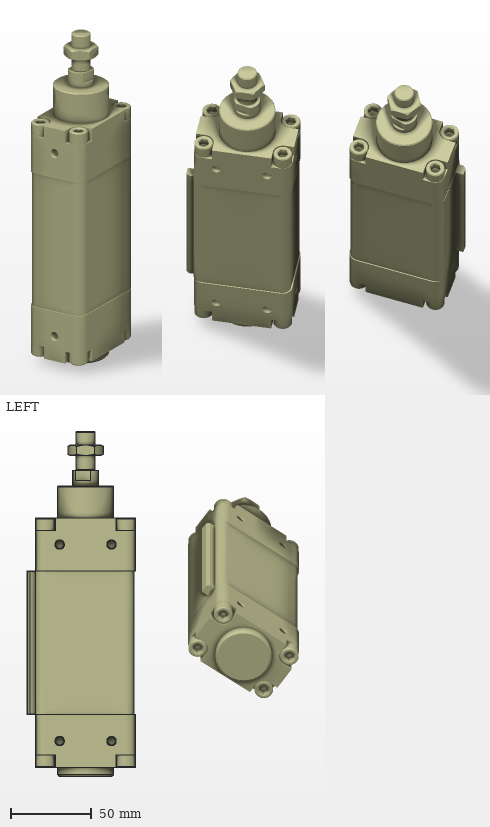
import cadquery as cq
import math

total_height = 214.5
end_boss_height = 5.5
end_cap_height = 33.0
barrel_length = 89.0
collar_height = 20.0
cap_bottom_z = end_boss_height
barrel_bottom_z = cap_bottom_z + end_cap_height
barrel_top_z = barrel_bottom_z + barrel_length
cap_top_z = barrel_top_z + end_cap_height
collar_top_z = cap_top_z + collar_height

cap_width = 40.0
cap_depth = 62.0
cap_corner_radius = 6.0
barrel_inset = 0.6
barrel_front_inset = 0.9
barrel_width = cap_width - 2 * barrel_inset
barrel_front_y = barrel_front_inset - cap_depth / 2
barrel_overhang = 0.2
barrel_back_y = cap_depth / 2 + barrel_overhang
barrel_depth = barrel_back_y - barrel_front_y
barrel_center_y = (barrel_front_y + barrel_back_y) / 2
barrel_corner_radius = cap_corner_radius - barrel_inset

collar_diameter = 35.0
collar_chamfer = 0.6
end_boss_chamfer = 1.3

overall_depth = 67.4
rail_width = 6.5
rail_left_x = -13.3
rail_chamfer = 1.7
rail_outer_y = overall_depth - cap_depth / 2

screw_x = cap_width / 2 - cap_corner_radius
screw_y = cap_depth / 2 - cap_corner_radius
screw_diameter = 11.5
screw_chamfer = 0.6
pocket_depth = 8.0
pocket_diameter = 12.5
socket_mouth_diameter = 8.0
socket_countersink_depth = 0.6
socket_flats = 6.0
socket_depth = 5.0
socket_tip_diameter = 4.0
drill_tip_angle = 118.0

port_height = 16.5
port_diameter = 5.0
port_mouth_diameter = 5.8
port_mouth_depth = 0.6
port_depth = 6.5
port_core_diameter = 4.0
port_core_depth = 8.5
side_port_y = 16.0

rod_diameter = 16.0
rod_shoulder_z = 190.3
rod_flats = 13.0
rod_flat_bottom_z = 183.8
rod_flat_angle = -14.0
thread_diameter = 12.0
thread_end_diameter = 10.7
thread_chamfer = (thread_diameter - thread_end_diameter) / 2

nut_flats = 19.0
nut_height = 6.5
nut_bottom_z = 199.5
nut_chamfer_angle = 30.0


def box_between(x0, x1, y0, y1, z0, z1):
    """Axis-aligned box between two opposite corners."""
    return cq.Workplane("XY").box(x1 - x0, y1 - y0, z1 - z0, centered=False).translate((x0, y0, z0))


def cylinder(diameter, bottom_z, height):
    """Cylinder on the axis."""
    return cq.Workplane("XY").workplane(offset=bottom_z).circle(diameter / 2).extrude(height)


def revolved(points):
    """Solid of revolution about Z from (radius, z) points."""
    return cq.Workplane("XZ").polyline(points).close().revolve(360, (0, 0, 0), (0, 1, 0))


def rounded_block(width, depth, corner_radius, bottom_z, height):
    """Block centred on the axis with rounded vertical edges."""
    block = cq.Workplane("XY").workplane(offset=bottom_z).rect(width, depth).extrude(height)
    return block.edges("|Z").fillet(corner_radius)


def hexagon_corner_diameter(flats):
    return flats / math.cos(math.pi / 6)


def hexagon(flats, bottom_z, height):
    """Hexagonal prism on the axis with two flats facing +X and -X."""
    outline = cq.Workplane("XY").workplane(offset=bottom_z).polygon(6, hexagon_corner_diameter(flats))
    prism = outline.extrude(height)
    return prism.rotate((0, 0, 0), (0, 0, 1), 30)


def drill_tip_length(diameter):
    """Length of the conical end left by a drill of this diameter."""
    return diameter / 2 / math.tan(math.radians(drill_tip_angle / 2))


def make_pocket():
    """Corner recess around a screw head, open towards +X and +Y, below Z = 0."""
    radius = pocket_diameter / 2
    outside = pocket_diameter
    pocket = cylinder(pocket_diameter, -pocket_depth, pocket_depth)
    slot_to_y = box_between(-radius, outside, 0, outside, -pocket_depth, 0)
    slot_to_x = box_between(0, outside, -radius, outside, -pocket_depth, 0)
    return pocket.union(slot_to_y).union(slot_to_x)


def make_screw_head():
    """Socket screw head with its top face at Z = 0."""
    head = cylinder(screw_diameter, -pocket_depth, pocket_depth)
    head = head.faces(">Z").chamfer(screw_chamfer)
    tip_radius = socket_tip_diameter / 2
    mouth_radius = socket_mouth_diameter / 2
    flat_radius = socket_flats / 2
    mouth = revolved([
        (0, 0),
        (mouth_radius, 0),
        (flat_radius, -socket_countersink_depth),
        (0, -socket_countersink_depth),
    ])
    tip_end = -socket_depth - drill_tip_length(socket_tip_diameter)
    tip = revolved([(0, -socket_depth), (tip_radius, -socket_depth), (0, tip_end)])
    return head.cut(mouth).cut(hexagon(socket_flats, -socket_depth, socket_depth)).cut(tip)


def at_cap_corners(shape):
    """Four mirrored copies of a +X +Y corner shape on the top of an end cap."""
    corner = shape.translate((screw_x, screw_y, 0))
    pair = corner.union(corner.mirror("YZ"))
    return pair.union(pair.mirror("XZ"))


def make_port(tip_length):
    """Blind port drilled along +Z from Z = 0, with a countersunk mouth; zero tip length is a flat end."""
    radius = port_diameter / 2
    return revolved([
        (0, 0),
        (port_mouth_diameter / 2, 0),
        (radius, port_mouth_depth),
        (radius, port_depth),
        (0, port_depth + tip_length),
    ])


def make_end_cap():
    """End cap with its outer face, pockets and screw heads at Z = 0, extending downwards."""
    cap = rounded_block(cap_width, cap_depth, cap_corner_radius, -end_cap_height, end_cap_height)
    cap = cap.cut(at_cap_corners(make_pocket())).union(at_cap_corners(make_screw_head()))
    front_port = make_port(0).rotate((0, 0, 0), (1, 0, 0), -90)
    front_core = cylinder(port_core_diameter, 0, port_core_depth).rotate((0, 0, 0), (1, 0, 0), -90)
    front_port = front_port.union(front_core)
    cap = cap.cut(front_port.translate((0, -cap_depth / 2, -port_height)))
    side_port = make_port(drill_tip_length(port_diameter)).rotate((0, 0, 0), (0, 1, 0), 90)
    for y in (-side_port_y, side_port_y):
        cap = cap.cut(side_port.translate((-cap_width / 2, y, -port_height)))
    return cap


def make_rail():
    """Bar along the barrel with one chamfered outer edge."""
    right_x = rail_left_x + rail_width
    rail = box_between(rail_left_x, right_x, 0, rail_outer_y, barrel_bottom_z, barrel_top_z)
    return rail.edges("|Z and >Y and <X").chamfer(rail_chamfer)


def make_housing():
    """Barrel, both end caps with screws, rail, collar and end boss as one solid."""
    barrel = rounded_block(barrel_width, barrel_depth, barrel_corner_radius, barrel_bottom_z, barrel_length)
    barrel = barrel.translate((0, barrel_center_y, 0))
    cap = make_end_cap()
    top_cap = cap.translate((0, 0, cap_top_z))
    bottom_cap = cap.mirror("XY").translate((0, 0, cap_bottom_z))
    collar = cylinder(collar_diameter, cap_top_z, collar_height).faces(">Z").chamfer(collar_chamfer)
    boss = cylinder(collar_diameter, 0, end_boss_height).faces("<Z").chamfer(end_boss_chamfer)
    housing = barrel.union(make_rail()).union(top_cap).union(bottom_cap)
    return housing.union(collar).union(boss)


def make_rod():
    """Piston rod standing on the collar, with two wrench flats and a chamfered stud."""
    shank_height = rod_shoulder_z - collar_top_z
    shank = cylinder(rod_diameter, collar_top_z, shank_height)
    waste = box_between(rod_flats / 2, rod_diameter, -rod_diameter, rod_diameter,
                        rod_flat_bottom_z, rod_shoulder_z)
    for angle in (rod_flat_angle, rod_flat_angle + 180):
        shank = shank.cut(waste.rotate((0, 0, 0), (0, 0, 1), angle))
    stud_length = total_height - rod_shoulder_z
    stud = cylinder(thread_diameter, rod_shoulder_z, stud_length)
    return shank.union(stud.faces("<Z or >Z").chamfer(thread_chamfer))


def make_nut():
    """Hexagonal nut on the stud, with its corners bevelled at both ends."""
    corner_radius = hexagon_corner_diameter(nut_flats) / 2
    bevel_radius = nut_flats / 2
    bevel_height = (corner_radius - bevel_radius) * math.tan(math.radians(nut_chamfer_angle))
    middle_z = nut_bottom_z + nut_height / 2
    half_height = nut_height / 2
    envelope = revolved([
        (0, -half_height),
        (bevel_radius, -half_height),
        (corner_radius, bevel_height - half_height),
        (corner_radius, half_height - bevel_height),
        (bevel_radius, half_height),
        (0, half_height),
    ]).translate((0, 0, middle_z))
    bore = cylinder(thread_diameter, nut_bottom_z, nut_height)
    return hexagon(nut_flats, nut_bottom_z, nut_height).intersect(envelope).cut(bore)


housing = make_housing()
rod = make_rod()
nut = make_nut()
result = cq.Compound.makeCompound([housing.solids().val(), rod.solids().val(), nut.solids().val()])